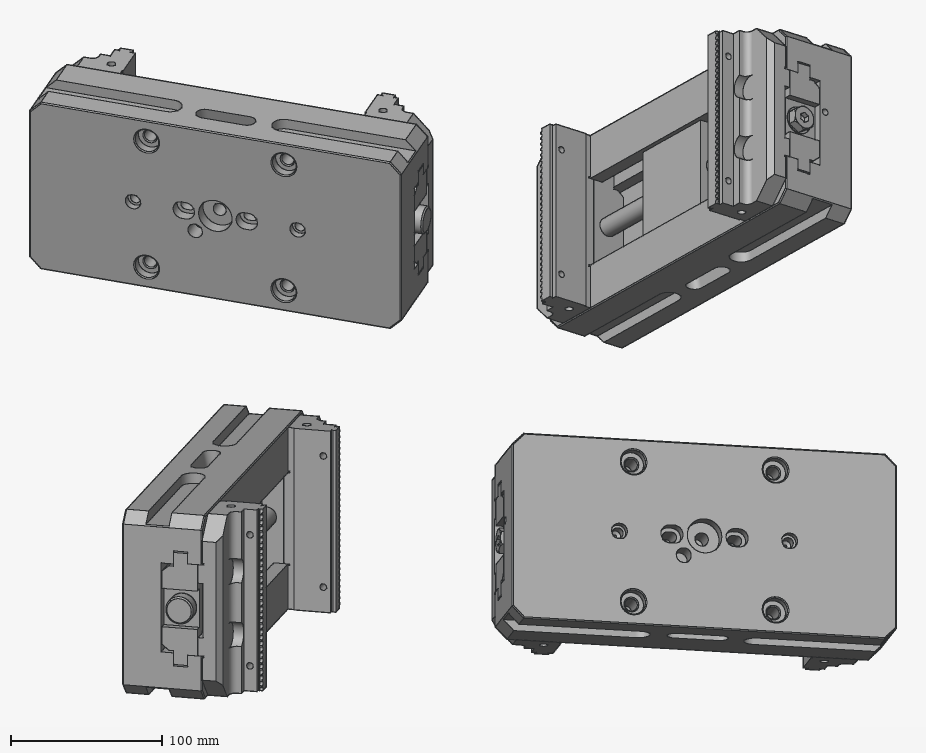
import cadquery as cq
import math


base_length = 260.0
base_width = 127.0
base_height = 54.5
corner_chamfer = 8.0
rim_chamfer = 0.8
end_x = base_length / 2
side_z = base_width / 2

opening_half = 31.5
wing_half = 39.8
lower_half = 30.7
channel_floor = 26.5
wing_bottom = 35.0
wing_top = 44.8

groove_depth = 7.2
groove_bottom = 16.0
groove_height = 16.0
groove_end_x = 31.8
pocket_length = 41.0
pocket_height = 11.7
pocket_bottom = 15.6
pocket_depth = 35.5
pocket_tilt = 12.0

bolt_spacing = 96.0
bolt_seat_diameter = 16.5
bolt_seat_depth = 7.2
bolt_hole_diameter = 8.5
bolt_hole_depth = 26.5
bolt_chamfer = 0.8
center_bore_diameter = 23.3
center_bore_depth = 9.0
center_hole_diameter = 9.0
pin_hole_diameter = 10.0
pin_hole_depth = 13.2
pin_hole_offset = 14.0
screw_x = 22.0
screw_slot_travel = 2.5
screw_seat_diameter = 12.5
screw_seat_depth = 8.0
screw_slot_diameter = 7.2
oil_x = 57.5
oil_seat_diameter = 10.5
oil_seat_depth = 5.3
oil_hole_diameter = 7.2
oil_hole_depth = 13.2
oil_passage_diameter = 2.5
end_hole_diameter = 4.5
end_hole_depth = 8.0
end_hole_y = 22.3
end_hole_z = 9.0
drill_point_angle = 118.0

slide_top = 51.5
slide_bottom = 27.0
slide_lower_half = 29.2
slide_wing_half = 38.7
slide_corner_z = 4.0
slide_corner_y = 4.8
block_half_length = 31.8
block_screw_diameter = 6.4
head_recess_half = 13.2
head_recess_depth = 5.0

spindle_y = 40.0
spindle_diameter = 13.2
collar_diameter = 18.8
collar_thickness = 3.7
hex_corners = 17.5
hex_corner_chamfer = 1.0
hex_front_x = 131.0
hex_back_x = 124.3
hex_socket_corners = 7.2
hex_socket_depth = 4.0
stub_diameter = 10.5
stub_length = 5.5
cap_front_x = 134.0
cap_chamfer = 1.0

jaw_half_width = 62.8
jaw_inner_x = 84.5
jaw_foot_x = 85.3
jaw_foot_top = 58.8
jaw_step_top = 67.8
jaw_step_x = 106.0
jaw_shelf_top = 75.0
jaw_shelf_x = 99.0
jaw_shoulder = 83.7
jaw_top = 87.0
jaw_step_fillet = 4.5
jaw_corner_chamfer = 14.8
jaw_edge_chamfer = 3.7
tongue_inner_x = 87.0
tongue_outer_x = 97.0
tongue_undercut = 1.3
tongue_lip = 2.0
grip_pitch = 4.0
grip_count = 32
grip_diameter = 3.0
key_bottom = 52.0
key_root_relief = 1.0
key_notch_half = 18.8
key_notch_depth = 10.5
key_notch_top = 55.5
key_notch_radius = 3.2
relief_x = 109.0
relief_z = 22.0
relief_diameter = 17.5
stop_hole_y = 79.0
stop_hole_z = 45.3
stop_hole_diameter = 4.5
side_hole_x = 95.0
side_hole_y = 65.0
side_hole_diameter = 5.5
side_hole_depth = 13.2


def facing_up(y):
    """Workplane at height y, with local axes X and Z; extruding by -h goes up to y + h."""
    return cq.Workplane("XZ", origin=(0, y, 0))


def along_x(x):
    """Workplane at x, with local axes Y and Z; extruding goes toward +X."""
    return cq.Workplane("YZ", origin=(x, 0, 0))


def mirrored_z(shape):
    """The shape and its mirror image across Z = 0."""
    return [shape, shape.mirror("XY")]


def drilled_hole(start, direction, diameter, depth, tip_diameter=0.0):
    """Cutter for a blind drilled hole: a cylinder with a conical point, which may be truncated."""
    radius = diameter / 2
    tip_radius = tip_diameter / 2
    point_length = (radius - tip_radius) / math.tan(math.radians(drill_point_angle / 2))
    axis = cq.Vector(*direction)
    hole = cq.Solid.makeCylinder(radius, depth, cq.Vector(*start), axis)
    point = cq.Solid.makeCone(radius, tip_radius, point_length, cq.Vector(*start) + axis * depth, axis)
    return cq.Workplane(hole.fuse(point))


def chamfered_mouth(x, y, z, diameter):
    """Cutter for the chamfer around the mouth of a mounting hole or its seat."""
    return (
        facing_up(y)
        .center(x, z)
        .circle(diameter / 2 + bolt_chamfer)
        .workplane(offset=-bolt_chamfer)
        .circle(diameter / 2)
        .loft()
    )


def bolt_holes():
    """Cutters for four counterbored, drilled mounting holes with chamfered edges."""
    cutters = []
    for x in (-bolt_spacing / 2, bolt_spacing / 2):
        for z in (-bolt_spacing / 2, bolt_spacing / 2):
            cutters.append(chamfered_mouth(x, 0, z, bolt_seat_diameter))
            cutters.append(facing_up(0).center(x, z).circle(bolt_seat_diameter / 2).extrude(-bolt_seat_depth))
            cutters.append(chamfered_mouth(x, bolt_seat_depth, z, bolt_hole_diameter))
            cutters.append(drilled_hole((x, 0, z), (0, 1, 0), bolt_hole_diameter, bolt_hole_depth))
    return cutters


def center_holes():
    """Cutters for the stepped center bore and the locating pin hole."""
    bore = facing_up(0).circle(center_bore_diameter / 2).extrude(-center_bore_depth)
    hole = facing_up(0).circle(center_hole_diameter / 2).extrude(-channel_floor)
    pin_hole = (
        facing_up(0)
        .center(-pin_hole_offset, -pin_hole_offset)
        .circle(pin_hole_diameter / 2)
        .extrude(-pin_hole_depth)
    )
    return [bore, hole, pin_hole]


def screw_slots():
    """Cutters for the two counterbored slots of the center block's screws."""
    cutters = []
    for diameter, depth in ((screw_seat_diameter, screw_seat_depth), (screw_slot_diameter, channel_floor)):
        places = facing_up(0).pushPoints([(-screw_x, 0), (screw_x, 0)])
        cutters.append(places.slot2D(diameter + screw_slot_travel, diameter).extrude(-depth))
    return cutters


def oil_holes():
    """Cutters for two stepped lubrication holes that narrow into a passage to the channel."""
    cutters = []
    for x in (-oil_x, oil_x):
        for diameter, depth in ((oil_seat_diameter, oil_seat_depth), (oil_passage_diameter, channel_floor)):
            cutters.append(facing_up(0).center(x, 0).circle(diameter / 2).extrude(-depth))
        hole = drilled_hole((x, 0, 0), (0, 1, 0), oil_hole_diameter, oil_hole_depth, oil_passage_diameter)
        cutters.append(hole)
    return cutters


def side_grooves():
    """Cutters for the round-ended grooves that run out at both ends of the long sides."""
    groove_length = 2 * (end_x - groove_end_x)
    groove = (
        cq.Workplane("XY", origin=(0, groove_bottom + groove_height / 2, side_z - groove_depth))
        .pushPoints([(-end_x, 0), (end_x, 0)])
        .slot2D(groove_length, groove_height)
        .extrude(groove_depth)
    )
    return mirrored_z(groove)


def chip_pockets():
    """Cutters for an obround pocket in each long side, tilted toward the jaws until it meets the channel."""
    tilt = math.radians(pocket_tilt)
    mouth_plane = cq.Plane(
        origin=(0, pocket_bottom + pocket_height / 2, side_z),
        xDir=(1, 0, 0),
        normal=(0, -math.sin(tilt), math.cos(tilt)),
    )
    section = cq.Workplane(mouth_plane).slot2D(pocket_length, pocket_height * math.cos(tilt))
    pocket = section.extrude(-pocket_depth).faces(">Z").wires().toPending().extrude(pocket_height)
    return mirrored_z(pocket)


def guide_channel():
    """Cutter for the T-shaped channel that runs the whole length of the base."""
    half_outline = [
        (channel_floor, 0),
        (channel_floor, lower_half),
        (wing_bottom, lower_half),
        (wing_bottom, wing_half),
        (wing_top, wing_half),
        (wing_top, opening_half),
        (base_height, opening_half),
        (base_height, 0),
    ]
    half = along_x(-end_x).polyline(half_outline).close().extrude(base_length)
    return mirrored_z(half)


def make_base():
    """Chamfered base block with its channel, grooves, pockets and holes."""
    body = (
        facing_up(0)
        .rect(base_length, base_width)
        .extrude(-base_height)
        .edges("|Y")
        .chamfer(corner_chamfer)
        .faces("<Y or >Y")
        .chamfer(rim_chamfer)
    )
    end_hole = (
        along_x(-end_x).center(end_hole_y, end_hole_z).circle(end_hole_diameter / 2).extrude(end_hole_depth)
    )
    features = [
        guide_channel(),
        side_grooves(),
        chip_pockets(),
        bolt_holes(),
        center_holes(),
        screw_slots(),
        oil_holes(),
        [end_hole],
    ]
    for cutters in features:
        for cutter in cutters:
            body = body.cut(cutter)
    return body


def slide(start_x, length):
    """A block with the T-shaped slide section and a bore for the spindle."""
    half_outline = [
        (slide_bottom, 0),
        (slide_bottom, slide_lower_half - slide_corner_z),
        (slide_bottom + slide_corner_y, slide_lower_half),
        (wing_bottom, slide_lower_half),
        (wing_bottom, slide_wing_half),
        (wing_top, slide_wing_half),
        (wing_top, opening_half),
        (slide_top, opening_half),
        (slide_top, 0),
    ]
    half = along_x(start_x).polyline(half_outline).close().extrude(length)
    bore = along_x(start_x).center(spindle_y, 0).circle(spindle_diameter / 2).extrude(length)
    return half.union(half.mirror("XY")).cut(bore)


def make_block():
    """Center block that carries the spindle, with two screw holes up to the spindle bore."""
    screw_holes = (
        facing_up(slide_bottom)
        .pushPoints([(-screw_x, 0), (screw_x, 0)])
        .circle(block_screw_diameter / 2)
        .extrude(-(spindle_y - slide_bottom))
    )
    return slide(-block_half_length, 2 * block_half_length).cut(screw_holes)


def make_carriage():
    """Carriage at the -X end, recessed around the spindle head and bored for its collar."""
    recess = cq.Workplane().box(
        head_recess_depth, base_height, 2 * head_recess_half, centered=(False, False, True)
    ).translate((-end_x, 0, 0))
    collar_seat = (
        along_x(-end_x)
        .center(spindle_y, 0)
        .circle(collar_diameter / 2)
        .extrude(end_x - hex_back_x + collar_thickness)
    )
    return slide(-end_x, end_x - jaw_foot_x).cut(recess).cut(collar_seat)


def hex_plane():
    """Workplane at the front of the spindle head, turned so that hexagons have corners toward +Z and -Z."""
    return along_x(-hex_front_x).center(spindle_y, 0).transformed(rotate=(0, 0, 90))


def make_spindle():
    """Spindle with a collar near each end, a hexagon head at -X and a round stub at +X."""
    body = along_x(-hex_back_x).center(spindle_y, 0).circle(spindle_diameter / 2).extrude(2 * hex_back_x)
    for x in (-hex_back_x, hex_back_x - collar_thickness):
        collar = along_x(x).center(spindle_y, 0).circle(collar_diameter / 2).extrude(collar_thickness)
        body = body.union(collar)
    head_length = hex_front_x - hex_back_x
    head = hex_plane().polygon(6, hex_corners).extrude(head_length)
    envelope = (
        along_x(-hex_front_x)
        .center(spindle_y, 0)
        .circle(hex_corners / 2)
        .extrude(head_length)
        .faces("<X")
        .chamfer(hex_corner_chamfer)
    )
    socket = hex_plane().polygon(6, hex_socket_corners).extrude(hex_socket_depth)
    socket_drill_diameter = hex_socket_corners * math.cos(math.radians(30))
    socket_point = drilled_hole(
        (-hex_front_x, spindle_y, 0), (1, 0, 0), socket_drill_diameter, hex_socket_depth
    )
    stub = along_x(hex_back_x).center(spindle_y, 0).circle(stub_diameter / 2).extrude(stub_length)
    return body.union(head.intersect(envelope)).union(stub).cut(socket).cut(socket_point)


def make_cap():
    """Round cap pushed over the stub at the +X end of the spindle."""
    return (
        along_x(hex_back_x)
        .center(spindle_y, 0)
        .circle(collar_diameter / 2)
        .extrude(cap_front_x - hex_back_x)
        .faces(">X")
        .chamfer(cap_chamfer)
        .cut(along_x(hex_back_x).center(spindle_y, 0).circle(stub_diameter / 2).extrude(stub_length))
    )


def jaw_body():
    """Stepped jaw profile across the full width, with its outer corners cut off at 45 degrees."""
    fillet_mid = jaw_step_fillet * (1 - math.cos(math.radians(45)))
    profile = (
        cq.Workplane("XY", origin=(0, 0, -jaw_half_width))
        .moveTo(-end_x, base_height)
        .lineTo(-end_x, jaw_step_top - jaw_edge_chamfer)
        .lineTo(-end_x + jaw_edge_chamfer, jaw_step_top)
        .lineTo(-jaw_step_x - jaw_step_fillet, jaw_step_top)
        .threePointArc(
            (-jaw_step_x - fillet_mid, jaw_step_top + fillet_mid),
            (-jaw_step_x, jaw_step_top + jaw_step_fillet),
        )
        .lineTo(-jaw_step_x, jaw_shelf_top)
        .lineTo(-jaw_shelf_x, jaw_shelf_top)
        .lineTo(-jaw_shelf_x, jaw_shoulder)
        .lineTo(-tongue_outer_x + tongue_undercut, jaw_shoulder)
        .lineTo(-tongue_outer_x, jaw_top - tongue_lip)
        .lineTo(-tongue_outer_x, jaw_top)
        .lineTo(-tongue_inner_x, jaw_top)
        .lineTo(-tongue_inner_x, jaw_top - tongue_lip)
        .lineTo(-tongue_inner_x - tongue_undercut, jaw_shoulder)
        .lineTo(-jaw_inner_x, jaw_shoulder)
        .lineTo(-jaw_inner_x, jaw_foot_top)
        .lineTo(-jaw_foot_x, jaw_foot_top)
        .lineTo(-jaw_foot_x, base_height)
        .close()
    )
    body = profile.extrude(2 * jaw_half_width)
    corner = (
        facing_up(base_height)
        .polyline(
            [
                (-end_x, jaw_half_width),
                (-end_x + jaw_corner_chamfer, jaw_half_width),
                (-end_x, jaw_half_width - jaw_corner_chamfer),
            ]
        )
        .close()
        .extrude(-(jaw_top - base_height))
    )
    return body.cut(corner).cut(corner.mirror("XY"))


def jaw_key():
    """Key under the jaw that fits the channel opening, just clear of the carriage."""
    return (
        facing_up(key_bottom)
        .center(-(end_x + jaw_foot_x) / 2, 0)
        .rect(end_x - jaw_foot_x, 2 * opening_half)
        .extrude(-(base_height - key_bottom))
    )


def key_root_reliefs():
    """Cutters for the small square grooves under the jaw, beside the root of the key."""
    groove = (
        along_x(-end_x)
        .center(base_height + key_root_relief / 2, opening_half + key_root_relief / 2)
        .rect(key_root_relief, key_root_relief)
        .extrude(end_x - jaw_foot_x)
    )
    return groove.union(groove.mirror("XY"))


def key_notch():
    """Cutter for the round-cornered notch in the outer end of the key."""
    return (
        facing_up(key_bottom)
        .center(-end_x, 0)
        .rect(2 * key_notch_depth, 2 * key_notch_half)
        .extrude(-(key_notch_top - key_bottom))
        .edges("|Y")
        .fillet(key_notch_radius)
    )


def grip_notches():
    """Cutter for the row of half-round grip notches along the outer edge of the tongue's lip."""
    first_z = -grip_pitch * (grip_count - 1) / 2
    places = [(-tongue_outer_x, first_z + i * grip_pitch) for i in range(grip_count)]
    return facing_up(jaw_top - tongue_lip).pushPoints(places).circle(grip_diameter / 2).extrude(-tongue_lip)


def make_jaw():
    """Jaw at the -X end."""
    reliefs = (
        facing_up(jaw_step_top)
        .pushPoints([(-relief_x, -relief_z), (-relief_x, relief_z)])
        .circle(relief_diameter / 2)
        .extrude(-(jaw_shelf_top - jaw_step_top))
    )
    stop_holes = (
        along_x(-end_x)
        .pushPoints([(stop_hole_y, -stop_hole_z), (stop_hole_y, stop_hole_z)])
        .circle(stop_hole_diameter / 2)
        .extrude(end_x)
    )
    side_hole = drilled_hole(
        (-side_hole_x, side_hole_y, jaw_half_width), (0, 0, -1), side_hole_diameter, side_hole_depth
    )
    return (
        jaw_body()
        .union(jaw_key())
        .cut(key_root_reliefs())
        .cut(key_notch())
        .cut(grip_notches())
        .cut(reliefs)
        .cut(stop_holes)
        .cut(side_hole)
        .cut(side_hole.mirror("XY"))
    )


base = make_base()
center_block = make_block()
spindle = make_spindle()
end_cap = make_cap()

carriages = []
jaws = []
for sign in (-1, 1):
    for kind, copies in ((make_carriage(), carriages), (make_jaw(), jaws)):
        copies.append(kind if sign < 0 else kind.mirror("YZ"))

result = cq.Compound.makeCompound(
    [
        base.val(),
        center_block.val(),
        spindle.val(),
        end_cap.val(),
        *[carriage.val() for carriage in carriages],
        *[jaw.val() for jaw in jaws],
    ]
)